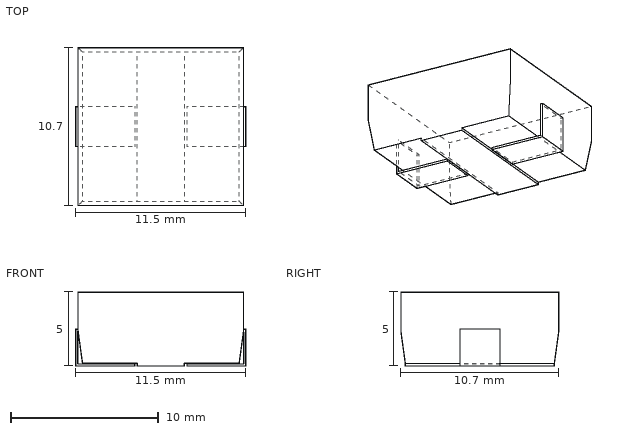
import cadquery as cq

overall_length = 11.51
body_length = 11.2
body_width = 10.69
overall_height = 5.0

terminal_thickness = (overall_length - body_length) / 2
terminal_width = 2.7
terminal_height = 2.5
foot_length = 4.0

base_z = 0.18
taper_top_z = 2.36
taper_inset = 0.3
base_length = body_length - 2 * taper_inset
base_width = body_width - 2 * taper_inset

rib_length = 3.2


def make_body():
    upper_block = (
        cq.Workplane("XY", origin=(0, 0, taper_top_z))
        .rect(body_length, body_width)
        .extrude(overall_height - taper_top_z)
    )
    tapered_block = (
        cq.Workplane("XY", origin=(0, 0, base_z))
        .rect(base_length, base_width)
        .workplane(offset=taper_top_z - base_z)
        .rect(body_length, body_width)
        .loft(ruled=True)
    )
    support_rib = cq.Workplane("XY").rect(rib_length, base_width).extrude(base_z)
    return upper_block.union(tapered_block).union(support_rib)


def make_terminal(side):
    """L-shaped terminal on the -X (side = -1) or +X (side = 1) face of the body."""
    outer_x = side * overall_length / 2
    inner_x = side * body_length / 2
    foot_end_x = side * (overall_length / 2 - foot_length)
    return (
        cq.Workplane("XZ")
        .moveTo(outer_x, 0)
        .lineTo(outer_x, terminal_height)
        .lineTo(inner_x, terminal_height)
        .lineTo(inner_x, terminal_thickness)
        .lineTo(foot_end_x, terminal_thickness)
        .lineTo(foot_end_x, 0)
        .close()
        .extrude(terminal_width / 2, both=True)
    )


body = make_body()
terminals = [make_terminal(side).val() for side in (-1, 1)]

result = cq.Compound.makeCompound([body.val(), *terminals])